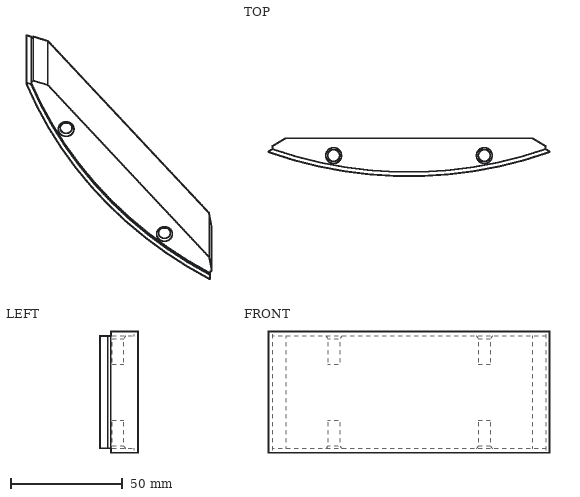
import cadquery as cq
import math

length = 125.5
depth = 17.1
height = 54.2

cover_thickness = 1.9
cover_overhang = 2.0
cover_end_y = -4.9
cover_end_inset = 1.8
tip_radius = 0.31
tip_normal_angle = math.radians(60)
inner_sagitta = depth - cover_thickness + cover_end_y

body_height = height - 2 * cover_overhang
half_body = length / 2 - cover_end_inset
bevel_depth = 3.5
bevel_width = 5.9

hole_x = 33.6
hole_y = -7.8
hole_diameter = 5.3
chamfer_width = 0.9
chamfer_depth = 1.3
hole_depth = 12.5

inner_radius = (half_body**2 + inner_sagitta**2) / (2 * inner_sagitta)
outer_radius = inner_radius + cover_thickness
arc_centre_y = outer_radius - depth
inner_front_y = cover_thickness - depth


tip_centre_x = length / 2 - tip_radius
tip_centre_y = arc_centre_y - math.sqrt((outer_radius - tip_radius) ** 2 - tip_centre_x**2)


def tip_point(angle, side):
    """Point on the tip round; side is +1 for the right tip, -1 for the left."""
    x = tip_centre_x + tip_radius * math.cos(angle)
    y = tip_centre_y + tip_radius * math.sin(angle)
    return side * x, y


def extrude_centred(outline, total_height):
    return outline.close().extrude(total_height / 2, both=True)


def make_cover():
    outer_angle = math.atan2(tip_centre_y - arc_centre_y, tip_centre_x)
    outline = (
        cq.Workplane("XY")
        .moveTo(-half_body, cover_end_y)
        .lineTo(*tip_point(tip_normal_angle, -1))
        .threePointArc(tip_point(0, -1), tip_point(outer_angle, -1))
        .threePointArc((0, -depth), tip_point(outer_angle, 1))
        .threePointArc(tip_point(0, 1), tip_point(tip_normal_angle, 1))
        .lineTo(half_body, cover_end_y)
        .threePointArc((0, inner_front_y), (-half_body, cover_end_y))
    )
    return extrude_centred(outline, height)


def make_body():
    half_back = half_body - bevel_width
    outline = (
        cq.Workplane("XY")
        .moveTo(-half_back, 0)
        .lineTo(-half_body, -bevel_depth)
        .lineTo(-half_body, cover_end_y)
        .threePointArc((0, inner_front_y), (half_body, cover_end_y))
        .lineTo(half_body, -bevel_depth)
        .lineTo(half_back, 0)
    )
    return extrude_centred(outline, body_height)


def make_hole_cutter(x, side):
    """Blind hole with a chamfered mouth; side is +1 for the top, -1 for the bottom."""
    mouth = cq.Vector(x, hole_y, side * body_height / 2)
    inward = cq.Vector(0, 0, -side)
    radius = hole_diameter / 2
    bore = cq.Solid.makeCylinder(radius, hole_depth, mouth, inward)
    chamfer = cq.Solid.makeCone(radius + chamfer_width, radius, chamfer_depth, mouth, inward)
    return bore.fuse(chamfer)


result = make_body().union(make_cover())
for x in (-hole_x, hole_x):
    for side in (1, -1):
        result = result.cut(make_hole_cutter(x, side))